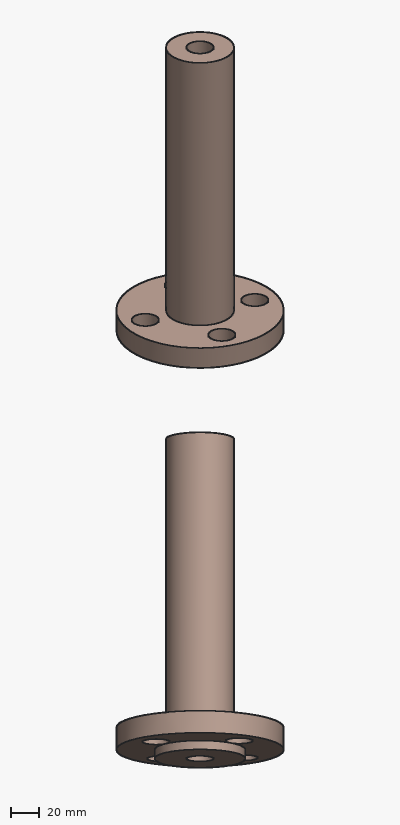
import cadquery as cq

overall_height = 228.6
flange_diameter = 117.35
flange_thickness = 15.75
raised_face_diameter = 63.5
raised_face_height = 6.35
neck_diameter = 47.75
bore_diameter = 19.05

bolt_circle_diameter = 82.55
bolt_hole_diameter = 19.05
bolt_hole_count = 4

flange_top = raised_face_height + flange_thickness
neck_length = overall_height - flange_top


def cylinder(diameter, height, base_z):
    """Solid cylinder on the part axis, rising from base_z."""
    return cq.Workplane("XY").workplane(offset=base_z).circle(diameter / 2).extrude(height)


def make_body():
    """Raised face, flange disc and neck stacked from the bottom up."""
    raised_face = cylinder(raised_face_diameter, raised_face_height, 0)
    flange = cylinder(flange_diameter, flange_thickness, raised_face_height)
    neck = cylinder(neck_diameter, neck_length, flange_top)
    return raised_face.union(flange).union(neck)


def make_bolt_holes():
    """Cutters for the bolt holes, the first one on the +X axis."""
    return (
        cq.Workplane("XY")
        .workplane(offset=raised_face_height)
        .polarArray(bolt_circle_diameter / 2, 0, 360, bolt_hole_count)
        .circle(bolt_hole_diameter / 2)
        .extrude(flange_thickness)
    )


bore = cylinder(bore_diameter, overall_height, 0)

result = make_body().cut(make_bolt_holes()).cut(bore)